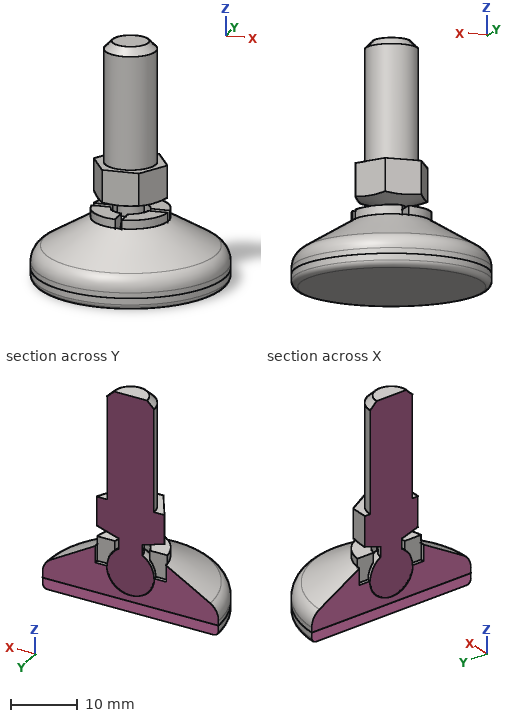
import cadquery as cq
import math

total_height = 37.5
foot_diameter = 30.0
foot_radius = foot_diameter / 2

pad_height = 1.9
pad_fillet = 0.95

rim_top = 2.8
shoulder_radius = 3.0
collar_radius = 6.0
collar_base = 9.85
collar_top = 11.25
slot_width = 1.1
bore_radius = 3.0

ball_radius = 4.0
neck_radius = 2.02
neck_base = 10.45
ball_center = neck_base - math.sqrt(ball_radius**2 - neck_radius**2)

hex_flats = 10.0
hex_corners = hex_flats / math.cos(math.radians(30))
hex_bottom = 12.2
hex_corner_bottom = 13.4
hex_top = 18.5
stud_radius = 4.0
stud_chamfer = 1.2


def cylinder(radius, bottom, top):
    return cq.Workplane("XY").workplane(offset=bottom).circle(radius).extrude(top - bottom)


def make_ball():
    return cq.Workplane("XY").sphere(ball_radius).translate((0, 0, ball_center))


def make_pad():
    return cylinder(foot_radius, 0, pad_height).faces("<Z").edges().fillet(pad_fillet)


def make_housing_blank():
    """Revolve the rim, tangent shoulder arc, cone and collar."""
    arc_center_r = foot_radius - shoulder_radius
    run = arc_center_r - collar_radius
    rise = collar_base - rim_top
    distance = math.hypot(run, rise)
    tangent_angle = math.atan2(rise, -run) - math.acos(shoulder_radius / distance)

    def on_shoulder(angle):
        return (
            arc_center_r + shoulder_radius * math.cos(angle),
            rim_top + shoulder_radius * math.sin(angle),
        )

    return (
        cq.Workplane("XZ")
        .moveTo(0, pad_height)
        .lineTo(foot_radius, pad_height)
        .lineTo(foot_radius, rim_top)
        .threePointArc(on_shoulder(tangent_angle / 2), on_shoulder(tangent_angle))
        .lineTo(collar_radius, collar_base)
        .lineTo(collar_radius, collar_top)
        .lineTo(0, collar_top)
        .close()
        .revolve(360, (0, 0, 0), (0, 1, 0))
    )


def make_collar_slots():
    """Two crossed slots, kept within the collar radius, from the collar top down to the ball center."""
    slot_depth = collar_top - ball_center
    slot = (
        cq.Workplane("XY")
        .workplane(offset=ball_center)
        .rect(2 * collar_radius, slot_width)
        .extrude(slot_depth)
    )
    crossed = slot.union(slot.rotate((0, 0, 0), (0, 0, 1), 90))
    return crossed.intersect(cylinder(collar_radius, ball_center, collar_top))


def make_housing():
    bore = cylinder(bore_radius, ball_center, collar_top)
    return make_housing_blank().cut(make_collar_slots()).cut(bore).cut(make_ball())


def make_hexagon():
    """Hexagon with corners on the X axis and a conical underside."""
    prism = (
        cq.Workplane("XY")
        .workplane(offset=hex_bottom)
        .polygon(6, hex_corners)
        .extrude(hex_top - hex_bottom)
    )
    corner_radius = hex_corners / 2
    underside = (
        cq.Workplane("XZ")
        .moveTo(0, hex_bottom)
        .lineTo(neck_radius, hex_bottom)
        .lineTo(corner_radius, hex_corner_bottom)
        .lineTo(corner_radius, hex_top)
        .lineTo(0, hex_top)
        .close()
        .revolve(360, (0, 0, 0), (0, 1, 0))
    )
    return prism.intersect(underside)


def make_stud():
    """Ball, neck, hexagon and chamfered shank in one piece."""
    neck = cylinder(neck_radius, ball_center, hex_bottom)
    shank = cylinder(stud_radius, hex_top, total_height).faces(">Z").chamfer(stud_chamfer)
    return make_ball().union(neck).union(make_hexagon()).union(shank)


pad = make_pad()
housing = make_housing()
stud = make_stud()

result = cq.Compound.makeCompound([pad.solids().val(), housing.solids().val(), stud.solids().val()])